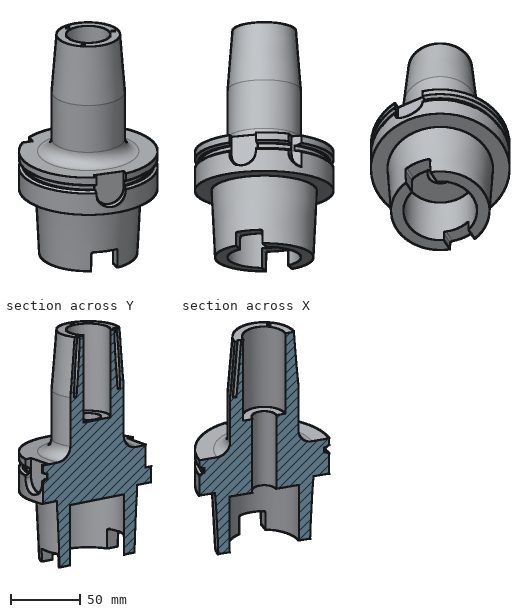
import cadquery as cq
import math


FLANGE_RADIUS = 50.0
FLANGE_HEIGHT = 29.0

GROOVE_CENTER_Z = 20.0
GROOVE_FLOOR_RADIUS = 46.0
GROOVE_FLOOR_WIDTH = 3.75
GROOVE_FLARE_DEPTH = 2.6
GROOVE_FLARE_ANGLE = 30.0

SHANK_LENGTH = 50.0
SHANK_TOP_RADIUS = 38.0
SHANK_BOTTOM_RADIUS = 35.5
CAVITY_RADIUS = 26.5
CAVITY_DEPTH = 45.0

TOP_Z = 120.0
NECK_RADIUS = 26.5
NECK_FILLET = 10.0
NOSE_RADIUS = 23.0
NOSE_HALF_ANGLE = 4.5

TOOL_BORE_RADIUS = 16.0
TOOL_BORE_DEPTH = 65.0
CENTER_BORE_RADIUS = 9.2

COOLANT_DIAMETER = 2.5
COOLANT_CIRCLE_RADIUS = 19.2
COOLANT_DEPTH = 45.0
COOLANT_ANGLES = (90.0, 210.0, 330.0)

SLOT_BOTTOM_Z = 5.0
SLOT_FLOOR_X = 44.0
LEFT_SLOT_WIDTH = 20.0
RIGHT_SLOT_WIDTH = 22.5
CORNER_NOTCH_WIDTH = 20.0
CORNER_NOTCH_OFFSET = 31.4

DRIVE_NOTCH_WIDTH = 20.0
DRIVE_NOTCH_FILLET = 1.5
LEFT_DRIVE_NOTCH_DEPTH = 10.0
RIGHT_DRIVE_NOTCH_DEPTH = 15.0


def revolve_about_z(profile):
    """Turn a closed (radius, z) profile about the Z axis."""
    return profile.close().revolve(360, (0, 0, 0), (0, 1, 0))


def make_body():
    """Outer turned shape: shank, flange, filleted neck and conical nose."""
    nose_height = (NECK_RADIUS - NOSE_RADIUS) / math.tan(math.radians(NOSE_HALF_ANGLE))
    fillet_outer_radius = NECK_RADIUS + NECK_FILLET
    fillet_top_z = FLANGE_HEIGHT + NECK_FILLET
    arc_reach = NECK_FILLET * (1 - math.sqrt(0.5))
    profile = (
        cq.Workplane("XZ")
        .moveTo(0, -SHANK_LENGTH)
        .lineTo(SHANK_BOTTOM_RADIUS, -SHANK_LENGTH)
        .lineTo(SHANK_TOP_RADIUS, 0)
        .lineTo(FLANGE_RADIUS, 0)
        .lineTo(FLANGE_RADIUS, FLANGE_HEIGHT)
        .lineTo(fillet_outer_radius, FLANGE_HEIGHT)
        .threePointArc(
            (NECK_RADIUS + arc_reach, FLANGE_HEIGHT + arc_reach),
            (NECK_RADIUS, fillet_top_z),
        )
        .lineTo(NECK_RADIUS, TOP_Z - nose_height)
        .lineTo(NOSE_RADIUS, TOP_Z)
        .lineTo(0, TOP_Z)
    )
    return revolve_about_z(profile)


def make_gripper_groove():
    """Ring cutter: a straight-walled groove with flared edges."""
    floor_half = GROOVE_FLOOR_WIDTH / 2
    flare = GROOVE_FLARE_DEPTH * math.tan(math.radians(GROOVE_FLARE_ANGLE))
    flare_radius = FLANGE_RADIUS - GROOVE_FLARE_DEPTH
    profile = (
        cq.Workplane("XZ")
        .moveTo(GROOVE_FLOOR_RADIUS, GROOVE_CENTER_Z - floor_half)
        .lineTo(flare_radius, GROOVE_CENTER_Z - floor_half)
        .lineTo(FLANGE_RADIUS, GROOVE_CENTER_Z - floor_half - flare)
        .lineTo(FLANGE_RADIUS, GROOVE_CENTER_Z + floor_half + flare)
        .lineTo(flare_radius, GROOVE_CENTER_Z + floor_half)
        .lineTo(GROOVE_FLOOR_RADIUS, GROOVE_CENTER_Z + floor_half)
    )
    return revolve_about_z(profile)


def bore(radius, bottom_z, top_z):
    """Cylindrical cutter on the tool axis."""
    return cq.Workplane("XY").workplane(offset=bottom_z).circle(radius).extrude(top_z - bottom_z)


def make_coolant_hole(angle):
    """Inclined cutter that moves outward with depth, like the nose cone."""
    azimuth = math.radians(angle)
    tilt = math.radians(NOSE_HALF_ANGLE)
    outward = cq.Vector(math.cos(azimuth), math.sin(azimuth), 0)
    direction = outward * math.sin(tilt) - cq.Vector(0, 0, math.cos(tilt))
    entry = outward * COOLANT_CIRCLE_RADIUS + cq.Vector(0, 0, TOP_Z)
    start = entry - direction * COOLANT_DIAMETER
    length = COOLANT_DEPTH + COOLANT_DIAMETER
    return cq.Workplane(obj=cq.Solid.makeCylinder(COOLANT_DIAMETER / 2, length, start, direction))


def make_rim_slot(width, center_y, start_x, end_x):
    """Slot along X, open at the flange top, with a half-round lower end."""
    half = width / 2
    arc_z = SLOT_BOTTOM_Z + half
    return (
        cq.Workplane("YZ", origin=(start_x, 0, 0))
        .moveTo(center_y - half, FLANGE_HEIGHT)
        .lineTo(center_y - half, arc_z)
        .threePointArc((center_y, SLOT_BOTTOM_Z), (center_y + half, arc_z))
        .lineTo(center_y + half, FLANGE_HEIGHT)
        .close()
        .extrude(end_x - start_x)
    )


def make_drive_notch(side, depth):
    """Rectangular notch through one side wall of the shank, inner corners rounded."""
    notch = (
        cq.Workplane("XY", origin=(side * FLANGE_RADIUS / 2, 0, -SHANK_LENGTH))
        .box(FLANGE_RADIUS, DRIVE_NOTCH_WIDTH, depth, centered=(True, True, False))
    )
    return notch.edges("|X and >Z").fillet(DRIVE_NOTCH_FILLET)


result = make_body().cut(make_gripper_groove())

result = result.cut(bore(CENTER_BORE_RADIUS, -SHANK_LENGTH, TOP_Z))
result = result.cut(bore(TOOL_BORE_RADIUS, TOP_Z - TOOL_BORE_DEPTH, TOP_Z))
result = result.cut(bore(CAVITY_RADIUS, -SHANK_LENGTH, CAVITY_DEPTH - SHANK_LENGTH))

for coolant_angle in COOLANT_ANGLES:
    result = result.cut(make_coolant_hole(coolant_angle))

corner_notch_y = -CORNER_NOTCH_OFFSET - CORNER_NOTCH_WIDTH / 2
result = result.cut(make_rim_slot(LEFT_SLOT_WIDTH, 0, -FLANGE_RADIUS, -SLOT_FLOOR_X))
result = result.cut(make_rim_slot(RIGHT_SLOT_WIDTH, 0, SLOT_FLOOR_X, FLANGE_RADIUS))
result = result.cut(
    make_rim_slot(CORNER_NOTCH_WIDTH, corner_notch_y, -FLANGE_RADIUS, -CORNER_NOTCH_OFFSET)
)

result = result.cut(make_drive_notch(-1, LEFT_DRIVE_NOTCH_DEPTH))
result = result.cut(make_drive_notch(1, RIGHT_DRIVE_NOTCH_DEPTH))